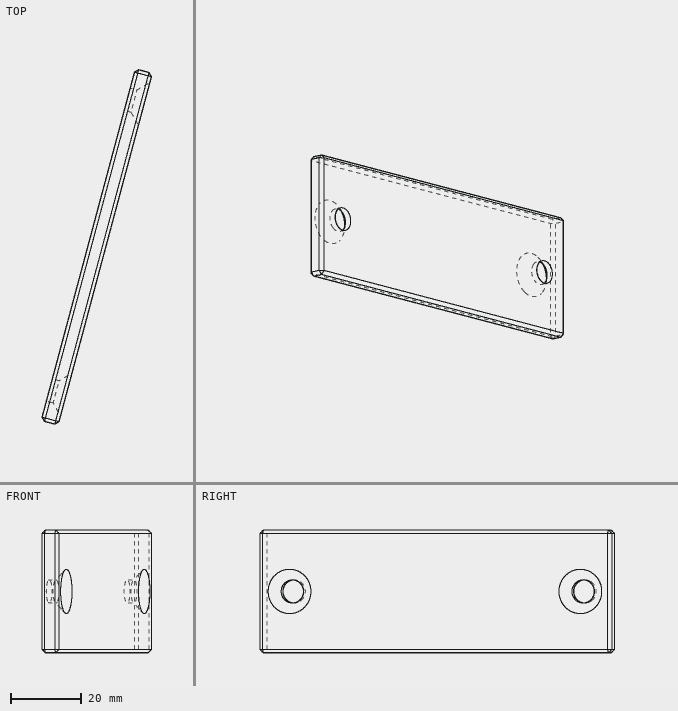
import cadquery as cq
import math

overall_y = 100.8
height = 35.0
thickness = 5.0
edge_chamfer = 1.0
tilt = 15.0

tilt_rad = math.radians(tilt)
end_face_width = thickness - 2 * edge_chamfer
length = (overall_y - end_face_width * math.sin(tilt_rad)) / math.cos(tilt_rad)

hole_spacing = 85.5
hole_diameter = 6.5
countersink_diameter = 12.6
countersink_angle = 90.0


def chamfered_plate():
    """Upright plate along Y with every outer edge chamfered."""
    return cq.Workplane("XY").box(thickness, length, height).edges().chamfer(edge_chamfer)


def add_screw_holes(plate):
    """Two countersunk through holes along the middle of the plate."""
    return (
        plate.faces(">X")
        .workplane(centerOption="CenterOfBoundBox")
        .pushPoints([(-hole_spacing / 2, 0), (hole_spacing / 2, 0)])
        .cskHole(hole_diameter, countersink_diameter, countersink_angle)
    )


upright_plate = add_screw_holes(chamfered_plate())
result = upright_plate.rotate((0, 0, 0), (0, 0, 1), -tilt)